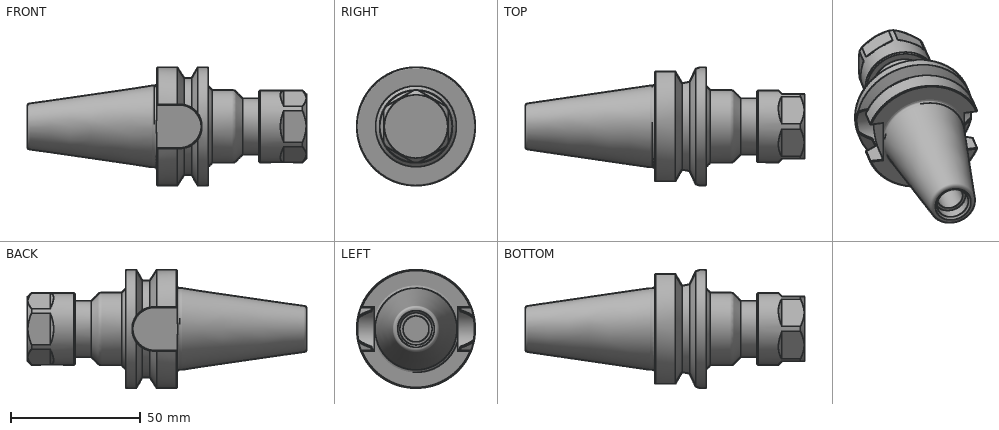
import cadquery as cq
import math

total_length = 108.4

gauge_diameter = 31.8
taper_ratio = 7 / 24
taper_end = 48.3
tip_round = 1.3

bore_diameter = 12.5
bore_mouth_chamfer = 0.9
bore_depth = 5.5
pilot_diameter = 10.1
pilot_depth = 23.8

flange_diameter = 46.0
flange_start = 50.3
flange_end = 70.2
flange_front_chamfer = 0.3
flange_rear_round = 0.7
flange_root_round = 1.0
groove_diameter = 37.7
groove_start = 58.2
groove_floor_start = 60.8
groove_floor_end = 63.7
groove_end = 66.1

slot_width = 16.6
slot_floor = 16.2
slot_end = 67.4
slot_edge_chamfer = 0.3

collar_diameter = 28.3
collar_root_chamfer = 1.5
collar_bevel_start = 80.3
collar_bevel_round = 1.6
neck_diameter = 22.0

nut_diameter = 28.0
nut_start = 89.8
nut_rear_chamfer = 0.5
nut_front_chamfer = 1.7
flat_count = 6
across_flats = 25.1
flat_start = 99.5

taper_radius = gauge_diameter / 2
tip_radius = taper_radius - taper_end * taper_ratio / 2
flange_radius = flange_diameter / 2
groove_radius = groove_diameter / 2
collar_radius = collar_diameter / 2
neck_radius = neck_diameter / 2
nut_radius = nut_diameter / 2
bore_radius = bore_diameter / 2
pilot_radius = pilot_diameter / 2
collar_bevel_end = collar_bevel_start + collar_radius - neck_radius
slot_half_width = slot_width / 2
slot_arc_center = slot_end - slot_half_width


def revolve_about_x(outline):
    return outline.close().revolve(360, (0, 0, 0), (1, 0, 0))


def round_at(body, position, radius):
    """Round the circular edges lying in the plane X = position."""
    reach = 2 * flange_radius
    margin = 0.01
    plane_box = cq.selectors.BoxSelector(
        (position - margin, -reach, -reach), (position + margin, reach, reach)
    )
    return body.edges(plane_box).fillet(radius)


def shank():
    outline = (
        cq.Workplane("XY")
        .lineTo(0, tip_radius)
        .lineTo(taper_end, taper_radius)
        .lineTo(flange_start, taper_radius)
        .lineTo(flange_start, 0)
    )
    return round_at(revolve_about_x(outline), 0, tip_round)


def flange_and_collar():
    outline = (
        cq.Workplane("XY")
        .moveTo(flange_start, 0)
        .lineTo(flange_start, flange_radius - flange_front_chamfer)
        .lineTo(flange_start + flange_front_chamfer, flange_radius)
        .lineTo(groove_start, flange_radius)
        .lineTo(groove_floor_start, groove_radius)
        .lineTo(groove_floor_end, groove_radius)
        .lineTo(groove_end, flange_radius)
        .lineTo(flange_end - flange_rear_round, flange_radius)
        .radiusArc((flange_end, flange_radius - flange_rear_round), flange_rear_round)
        .lineTo(flange_end, collar_radius + collar_root_chamfer)
        .lineTo(flange_end + collar_root_chamfer, collar_radius)
        .lineTo(collar_bevel_start, collar_radius)
        .lineTo(collar_bevel_end, neck_radius)
        .lineTo(nut_start, neck_radius)
        .lineTo(nut_start, 0)
    )
    return round_at(revolve_about_x(outline), collar_bevel_start, collar_bevel_round)


def flange_root():
    """Ring that blends the shank into the front face of the flange."""
    start = flange_start - flange_root_round
    outline = (
        cq.Workplane("XY")
        .moveTo(start, 0)
        .lineTo(start, taper_radius)
        .radiusArc((flange_start, taper_radius + flange_root_round), -flange_root_round)
        .lineTo(flange_start, 0)
    )
    return revolve_about_x(outline)


def clamping_nut():
    outline = (
        cq.Workplane("XY")
        .moveTo(nut_start, 0)
        .lineTo(nut_start, nut_radius - nut_rear_chamfer)
        .lineTo(nut_start + nut_rear_chamfer, nut_radius)
        .lineTo(total_length - nut_front_chamfer, nut_radius)
        .lineTo(total_length, nut_radius - nut_front_chamfer)
        .lineTo(total_length, 0)
    )
    nut = revolve_about_x(outline)
    for index in range(flat_count):
        nut = nut.cut(flat_cutter().rotate((0, 0, 0), (1, 0, 0), index * 360 / flat_count))
    return nut


def flat_cutter():
    """Removes one wrench flat; its rear end runs out on a 45 degree slope."""
    flat = across_flats / 2
    return (
        cq.Workplane("XY")
        .moveTo(flat_start, -flat)
        .lineTo(flat_start - flat, -2 * flat)
        .lineTo(total_length, -2 * flat)
        .lineTo(total_length, -flat)
        .close()
        .extrude(nut_radius, both=True)
    )


def drawbar_bore():
    outline = (
        cq.Workplane("XY")
        .lineTo(0, bore_radius + bore_mouth_chamfer)
        .lineTo(bore_mouth_chamfer, bore_radius)
        .lineTo(bore_depth, bore_radius)
        .lineTo(bore_depth, pilot_radius)
        .lineTo(pilot_depth, pilot_radius)
        .lineTo(pilot_depth, 0)
    )
    return revolve_about_x(outline)


def slot_cutter():
    return (
        cq.Workplane("XZ", origin=(0, -slot_floor, 0))
        .moveTo(taper_end, -slot_half_width)
        .lineTo(slot_arc_center, -slot_half_width)
        .threePointArc((slot_end, 0), (slot_arc_center, slot_half_width))
        .lineTo(taper_end, slot_half_width)
        .close()
        .extrude(flange_radius)
    )


def is_slot_rim(edge):
    """True for an edge of a slot wall that is not on the slot floor."""
    point = edge.positionAt(0.5)
    along = max(point.x - slot_arc_center, 0)
    tolerance = 0.001
    on_wall = abs(math.hypot(along, point.z) - slot_half_width) < tolerance
    beyond_floor = abs(point.y) > slot_floor + tolerance
    in_flange = point.x < slot_end + tolerance
    return on_wall and beyond_floor and in_flange


holder = shank().union(flange_root()).union(flange_and_collar())
for turn in (0, 180):
    holder = holder.cut(slot_cutter().rotate((0, 0, 0), (1, 0, 0), turn))
holder = holder.edges().filter(is_slot_rim).chamfer(slot_edge_chamfer)

result = holder.union(clamping_nut()).cut(drawbar_bore())